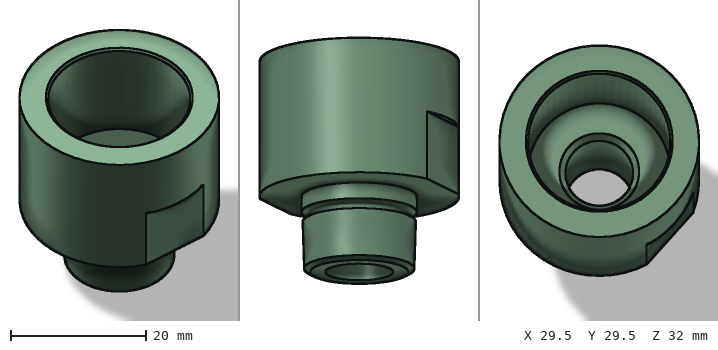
import cadquery as cq

total_height = 32
shoulder_z = 11.5
body_height = total_height - shoulder_z

body_radius = 14.75
flat_spacing = 27.55
flat_height = body_height / 2

collar_radius = 8.5
collar_bottom_z = 9.1
groove_radius = 7.5
groove_edge_radius = 7.6
groove_top_z = 8.58
groove_bottom_z = 8.1
groove_middle_z = (groove_top_z + groove_bottom_z) / 2
plug_top_radius = 8.4
plug_top_z = 7.6
plug_bottom_radius = 8.15
tip_radius = 7.23
tip_chamfer_height = 0.5

bore_radius = 10.5
bore_depth = 16
bore_chamfer = 0.35
hole_radius = 5.0
hole_chamfer = 0.9


def make_turned_blank():
    """Revolve the solid outer profile around Z."""
    above_groove = [
        (collar_radius, collar_bottom_z),
        (collar_radius, shoulder_z),
        (body_radius, shoulder_z),
        (body_radius, total_height),
        (0, total_height),
    ]
    return (
        cq.Workplane("XZ")
        .lineTo(tip_radius, 0)
        .lineTo(plug_bottom_radius, tip_chamfer_height)
        .lineTo(plug_top_radius, plug_top_z)
        .lineTo(groove_edge_radius, groove_bottom_z)
        .threePointArc((groove_radius, groove_middle_z), (groove_edge_radius, groove_top_z))
        .polyline(above_groove, includeCurrent=True)
        .close()
        .revolve(360, (0, 0), (0, 1))
    )


def make_bore():
    """Revolve the stepped through bore, chamfers included."""
    floor_z = total_height - bore_depth
    outline = [
        (0, 0),
        (hole_radius, 0),
        (hole_radius, floor_z - hole_chamfer),
        (hole_radius + hole_chamfer, floor_z),
        (bore_radius, floor_z),
        (bore_radius, total_height - bore_chamfer),
        (bore_radius + bore_chamfer, total_height),
        (0, total_height),
    ]
    return cq.Workplane("XZ").polyline(outline).close().revolve(360, (0, 0), (0, 1))


def make_flat_cutter():
    """Material outside the two flats on the lower half of the body."""
    cutter_size = 2 * body_radius
    cutter_offset = (flat_spacing + cutter_size) / 2
    return (
        cq.Workplane("XY", origin=(0, 0, shoulder_z))
        .pushPoints([(-cutter_offset, 0), (cutter_offset, 0)])
        .rect(cutter_size, cutter_size)
        .extrude(flat_height)
    )


result = make_turned_blank().cut(make_bore()).cut(make_flat_cutter())